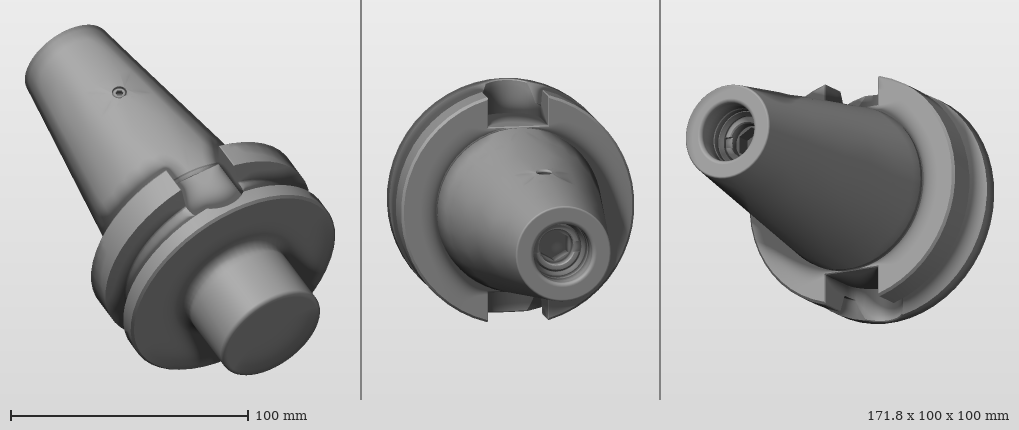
import cadquery as cq
import math

total_length = 171.8

taper_length = 102.0
taper_ratio = 7 / 24
taper_large_radius = 35.2
taper_small_radius = taper_large_radius - taper_length * taper_ratio / 2
tip_fillet = 0.9

relief_depth = 0.3
relief_slope = 0.5

flange_radius = 50.0
flange_front = 104.8
flange_back = 139.8
flange_chamfer = 1.0
groove_radius = 42.5
groove_floor_start = 121.5
groove_floor_end = 128.3
groove_start = 117.9
groove_end = 132.6
groove_fillet = 0.7

slot_width = 25.6
slot_floor_height = 35.4
slot_end = 135.9
slot_edge_chamfer = 0.43
slot_run_in = 1.7

nose_radius = 24.0
nose_end_fillet = 2.0
nose_root_fillet = 4.6

bore_radius = 12.5
bore_mouth_fillet = 1.7
bore_depth = 10.3
thread_radius = 10.5
bore_step_radius = 12.2
bore_step_end = 13.7
bore_cone_radius = 11.9
bore_cone_end = 15.5
bore_bottom = 34.4

ring_face = bore_cone_end
ring_thickness = 5.2
ring_hole_radius = 7.4
ring_hole_chamfer = 0.5
ring_rim_chamfer = 0.9
ring_slot_width = 4.6
ring_slot_depth = 1.7

socket_across_flats = 11.9
socket_depth = 6.9

side_hole_position = 44.5
side_hole_radius = 3.1
side_hole_depth = 8.6
side_hole_chamfer = 0.5
set_screw_recess = 1.0
set_screw_chamfer = 0.7
set_screw_socket = 3.0
set_screw_socket_depth = 2.0
side_surface_height = taper_small_radius + side_hole_position * taper_ratio / 2


def x_cylinder(radius, start, end):
    """Solid cylinder on the X axis between two positions."""
    return cq.Workplane("YZ").workplane(offset=start).circle(radius).extrude(end - start)


def hexagon_diameter(across_flats):
    """Diameter across the corners of a hexagon."""
    return across_flats / math.cos(math.radians(30))


def x_hexagon(across_flats, start, end):
    """Hexagonal prism on the X axis with two flats facing +Y and -Y."""
    outline = cq.Workplane("YZ").workplane(offset=start).polygon(6, hexagon_diameter(across_flats))
    prism = outline.extrude(end - start)
    return prism.rotate((0, 0, 0), (1, 0, 0), 30)


def opposite(shape):
    """The shape turned half a turn about the X axis."""
    return shape.rotate((0, 0, 0), (1, 0, 0), 180)


def outer_body():
    """Taper, flange and nose revolved about the X axis."""
    relief_radius = taper_large_radius - relief_depth
    profile = (
        cq.Workplane("XZ")
        .moveTo(0, 0)
        .lineTo(0, taper_small_radius)
        .lineTo(taper_length, taper_large_radius)
        .lineTo(taper_length + relief_slope, relief_radius)
        .lineTo(flange_front - relief_slope, relief_radius)
        .lineTo(flange_front, taper_large_radius)
        .lineTo(flange_front, flange_radius - flange_chamfer)
        .lineTo(flange_front + flange_chamfer, flange_radius)
        .lineTo(groove_start, flange_radius)
        .lineTo(groove_floor_start, groove_radius)
        .lineTo(groove_floor_end, groove_radius)
        .lineTo(groove_end, flange_radius)
        .lineTo(flange_back - flange_chamfer, flange_radius)
        .lineTo(flange_back, flange_radius - flange_chamfer)
        .lineTo(flange_back, nose_radius + nose_root_fillet)
        .radiusArc((flange_back + nose_root_fillet, nose_radius), -nose_root_fillet)
        .lineTo(total_length, nose_radius)
        .lineTo(total_length, 0)
        .close()
    )
    body = profile.revolve(360, (0, 0, 0), (1, 0, 0))
    body = body.faces("<X").edges().fillet(tip_fillet)
    body = body.faces(">X").edges().fillet(nose_end_fillet)
    for corner in (groove_floor_start, groove_floor_end):
        near_corner = cq.selectors.BoxSelector(
            (corner - groove_fillet, -flange_radius, -flange_radius),
            (corner + groove_fillet, flange_radius, flange_radius),
        )
        body = body.edges(near_corner).fillet(groove_fillet)
    return body


def drive_slot():
    """Round-ended cutter for the slot at the top of the flange."""
    end_centre = slot_end - slot_width / 2
    return (
        cq.Workplane("XY")
        .workplane(offset=slot_floor_height)
        .moveTo(flange_front - slot_run_in, -slot_width / 2)
        .lineTo(end_centre, -slot_width / 2)
        .threePointArc((slot_end, 0), (end_centre, slot_width / 2))
        .lineTo(flange_front - slot_run_in, slot_width / 2)
        .close()
        .extrude(flange_radius)
    )


def slot_front_bevel():
    """Tapered cutter that breaks the edges of the top slot on the front face of the flange."""
    bottom = slot_floor_height - slot_edge_chamfer
    return (
        cq.Workplane("YZ", origin=(flange_front, 0, bottom + flange_radius / 2))
        .rect(slot_width + 2 * slot_edge_chamfer, flange_radius)
        .extrude(slot_edge_chamfer, taper=45)
    )


def slotted_body():
    """Outer body with both drive slots, their edges broken on the front face and the flange rim."""
    slot = drive_slot()
    body = outer_body().cut(slot).cut(opposite(slot))
    straight_edge_height = math.sqrt(flange_radius**2 - (slot_width / 2) ** 2)
    for side in (1, -1):
        rim_straights = cq.selectors.BoxSelector(
            (flange_front + flange_chamfer, -slot_width, side * (straight_edge_height - slot_edge_chamfer)),
            (groove_start, slot_width, side * (straight_edge_height + slot_edge_chamfer)),
        )
        rim_arc = cq.selectors.BoxSelector(
            (groove_end, -slot_width, side * straight_edge_height),
            (slot_end, slot_width, side * flange_radius),
        )
        body = body.edges(rim_straights + rim_arc).chamfer(slot_edge_chamfer)
    front_bevel = slot_front_bevel()
    return body.cut(front_bevel).cut(opposite(front_bevel))


def bore():
    """Wide bore with a rounded mouth, a conical step and the narrower threaded length."""
    profile = (
        cq.Workplane("XZ")
        .moveTo(0, 0)
        .lineTo(0, bore_radius + bore_mouth_fillet)
        .radiusArc((bore_mouth_fillet, bore_radius), -bore_mouth_fillet)
        .lineTo(bore_depth, bore_radius)
        .lineTo(bore_depth + bore_radius - bore_step_radius, bore_step_radius)
        .lineTo(bore_step_end, bore_step_radius)
        .lineTo(bore_step_end, bore_cone_radius)
        .lineTo(bore_cone_end, thread_radius)
        .lineTo(bore_bottom, thread_radius)
        .lineTo(bore_bottom, 0)
        .close()
    )
    return profile.revolve(360, (0, 0, 0), (1, 0, 0))


def side_hole():
    """Blind hole square to the axis, with a chamfered mouth."""
    hole = (
        cq.Workplane("XY", origin=(side_hole_position, 0, side_surface_height - side_hole_depth))
        .circle(side_hole_radius)
        .extrude(2 * side_hole_depth)
    )
    mouth = cq.Workplane("XY").add(
        cq.Solid.makeCone(
            side_hole_radius,
            side_hole_radius + 2 * side_hole_chamfer,
            2 * side_hole_chamfer,
            pnt=cq.Vector(side_hole_position, 0, side_surface_height - side_hole_chamfer),
        )
    )
    return hole.union(mouth)


def make_housing():
    """Holder body with its slots, stepped bore and side hole."""
    return slotted_body().cut(bore()).cut(side_hole())


def make_ring():
    """Threaded-in ring with a central hole and two key slots across its face."""
    ring = x_cylinder(thread_radius, ring_face, ring_face + ring_thickness)
    ring = ring.faces("<X").chamfer(ring_rim_chamfer)
    ring = ring.faces("<X").workplane().hole(2 * ring_hole_radius)
    ring = ring.faces("<X").edges(cq.selectors.RadiusNthSelector(0)).chamfer(ring_hole_chamfer)
    key_slot = cq.Workplane("XY").box(2 * ring_slot_depth, 2 * bore_radius, ring_slot_width)
    return ring.cut(key_slot.translate((ring_face, 0, 0)))


def make_screw():
    """Screw that fills the bore behind the ring, with a hexagon socket."""
    head = ring_face + ring_thickness
    return x_cylinder(thread_radius, head, bore_bottom).cut(
        x_hexagon(socket_across_flats, head, head + socket_depth)
    )


def make_set_screw():
    """Small screw with a hexagon socket, sunk just below the taper surface."""
    floor = side_surface_height - side_hole_depth
    body = (
        cq.Workplane("XY", origin=(side_hole_position, 0, floor))
        .circle(side_hole_radius)
        .extrude(side_hole_depth - set_screw_recess)
    )
    body = body.faces(">Z").chamfer(set_screw_chamfer)
    socket = body.faces(">Z").workplane().polygon(6, hexagon_diameter(set_screw_socket))
    return socket.cutBlind(-set_screw_socket_depth)


housing = make_housing()
retaining_ring = make_ring()
socket_screw = make_screw()
set_screw = make_set_screw()

result = cq.Compound.makeCompound(
    [housing.val(), retaining_ring.val(), socket_screw.val(), set_screw.val()]
)